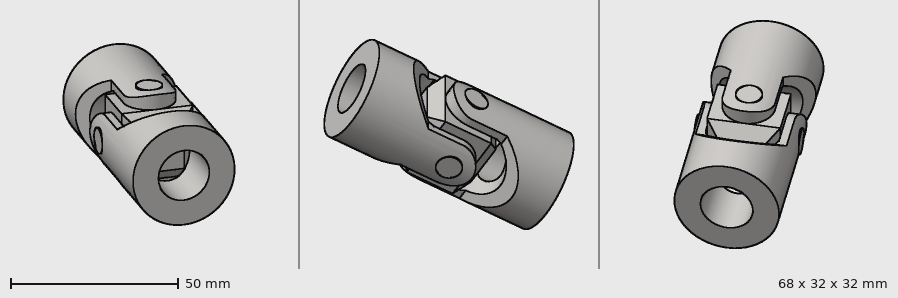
import cadquery as cq


joint_length = 68.0
yoke_diameter = 32.0
bore_diameter = 16.0
blind_bore_end_x = -22.0
arm_width = 16.0
taper_start_x = -22.0
taper_end_x = -12.0
tip_arc_x = 0.4
gap_width = 22.4
gap_arch_x = -10.0
gap_bottom_x = -18.0

block_length = 24.0
block_chamfer = 4.0
pin_diameter = 8.0

yoke_radius = yoke_diameter / 2
arm_tip_x = arm_width / 2
back_x = -joint_length / 2
through_bore_end_x = gap_arch_x


def make_arm_profile():
    """Plan outline of the yoke seen along its pin axis: full body, taper, then round-ended arm."""
    half_arm = arm_width / 2
    return (
        cq.Workplane("XY")
        .workplane(offset=-yoke_radius)
        .moveTo(back_x, -yoke_radius)
        .lineTo(taper_start_x, -yoke_radius)
        .lineTo(taper_end_x, -half_arm)
        .lineTo(tip_arc_x, -half_arm)
        .threePointArc((arm_tip_x, 0), (tip_arc_x, half_arm))
        .lineTo(taper_end_x, half_arm)
        .lineTo(taper_start_x, yoke_radius)
        .lineTo(back_x, yoke_radius)
        .close()
        .extrude(yoke_diameter)
    )


def make_gap():
    """Gap between the arms: arched bottom, open at the arm tips, running through along Y."""
    half_gap = gap_width / 2
    return (
        cq.Workplane("XZ")
        .moveTo(arm_tip_x, -half_gap)
        .lineTo(gap_arch_x, -half_gap)
        .threePointArc((gap_bottom_x, 0), (gap_arch_x, half_gap))
        .lineTo(arm_tip_x, half_gap)
        .close()
        .extrude(yoke_radius, both=True)
    )


def make_yoke(bore_end_x):
    """Yoke at the -X end, arms above and below the cross, bored from its back to bore_end_x."""
    body = cq.Workplane("YZ").workplane(offset=back_x).circle(yoke_radius)
    body = body.extrude(arm_tip_x - back_x).intersect(make_arm_profile())
    bore = cq.Workplane("YZ").workplane(offset=back_x).circle(bore_diameter / 2).extrude(bore_end_x - back_x)
    pin_hole = cq.Workplane("XY").circle(pin_diameter / 2).extrude(yoke_radius, both=True)
    return body.cut(make_gap()).cut(bore).cut(pin_hole)


def make_cross():
    """Chamfered block filling the gap of both yokes, with two crossing pins."""
    block = cq.Workplane("XY").box(block_length, gap_width, gap_width)
    block = block.faces("<X or >X").chamfer(block_chamfer)
    for plane in ("XY", "XZ"):
        pin = cq.Workplane(plane).circle(pin_diameter / 2).extrude(yoke_radius, both=True)
        block = block.union(pin)
    return block


left_yoke = make_yoke(blind_bore_end_x)
right_yoke = (
    make_yoke(through_bore_end_x)
    .rotate((0, 0, 0), (0, 0, 1), 180)
    .rotate((0, 0, 0), (1, 0, 0), 90)
)
cross = make_cross()

result = cq.Compound.makeCompound([left_yoke.val(), right_yoke.val(), cross.val()])